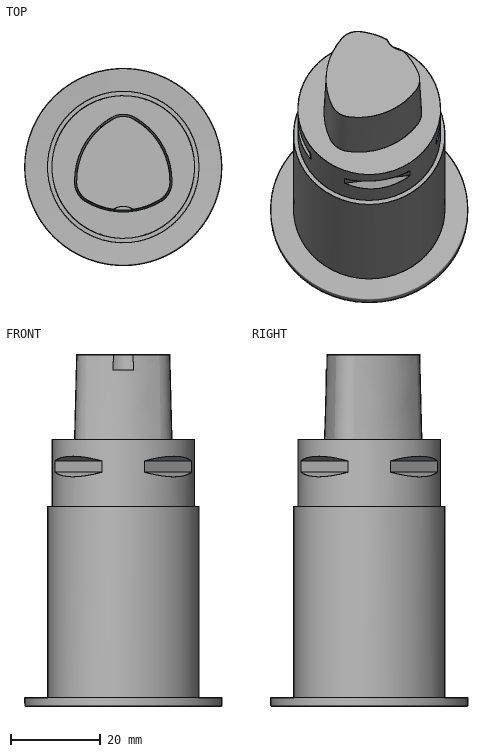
import cadquery as cq
import math

total_height = 78.8
taper_length = 19.0
collar_length = 15.0
collar_top = total_height - taper_length
collar_bottom = collar_top - collar_length

disc_diameter = 44.2
disc_thickness = 2.0
disc_corner_radius = 0.2
dish_angle = 2.5

collar_diameter = 32.0
shank_diameter = 34.0
dish_drop = (disc_diameter - shank_diameter) / 2 * math.tan(math.radians(dish_angle))
seat_height = disc_thickness - dish_drop

lobe_count = 3
tip_distance = 11.8
flank_distance = 10.1
lobe_radius = 5.1
first_lobe_angle = 90.0
taper_ratio = 1 / 40

notch_floor_distance = 8.8
notch_radius = 4.1
notch_depth = 3.5

slot_count = 4
slot_first_angle = 45.0
slot_center_height = 53.75
slot_flat_distance = 14.2
slot_flat_height = 2.5
slot_side_angle = 30.0
slot_clearance = 0.8


def polar(radius, angle):
    """Point at the given radius and angle in degrees."""
    return radius * math.cos(math.radians(angle)), radius * math.sin(math.radians(angle))


def make_disc():
    """Cutting disc with a dished upper face and a flat seat for the shank, rounded at both rims."""
    outline = (
        cq.Workplane("XZ")
        .lineTo(disc_diameter / 2, 0)
        .lineTo(disc_diameter / 2, disc_thickness)
        .lineTo(shank_diameter / 2, seat_height)
        .lineTo(0, seat_height)
        .close()
    )
    disc = outline.revolve(360, (0, 0, 0), (0, 1, 0))
    return disc.faces("%CYLINDER").edges("%CIRCLE").fillet(disc_corner_radius)


def make_taper():
    """Tapered three-lobed shape whose lobe and flank arcs meet tangentially."""
    lobe_center_distance = tip_distance - lobe_radius
    lobe_step = 360 / lobe_count
    half_step = math.radians(lobe_step / 2)
    along_flank_axis = lobe_center_distance * math.cos(half_step)
    across_flank_axis = lobe_center_distance * math.sin(half_step)
    radius_gap = flank_distance - lobe_radius
    flank_center_offset = (lobe_center_distance**2 - radius_gap**2) / (2 * (radius_gap - along_flank_axis))
    joint_slope = math.atan2(across_flank_axis, flank_center_offset + along_flank_axis)
    joint_along = along_flank_axis + lobe_radius * math.cos(joint_slope)
    joint_across = across_flank_axis + lobe_radius * math.sin(joint_slope)
    joint_distance = math.hypot(joint_along, joint_across)
    joint_angle = lobe_step / 2 - math.degrees(math.atan2(joint_across, joint_along))

    outline = cq.Workplane("XY", origin=(0, 0, collar_top)).moveTo(
        *polar(joint_distance, first_lobe_angle - joint_angle)
    )
    for lobe in range(lobe_count):
        lobe_angle = first_lobe_angle + lobe * lobe_step
        lobe_end = polar(joint_distance, lobe_angle + joint_angle)
        flank_middle = polar(flank_distance, lobe_angle + lobe_step / 2)
        flank_end = polar(joint_distance, lobe_angle + lobe_step - joint_angle)
        outline = outline.threePointArc(polar(tip_distance, lobe_angle), lobe_end)
        outline = outline.threePointArc(flank_middle, flank_end)
    taper_angle = math.degrees(math.atan(taper_ratio))
    return outline.close().extrude(taper_length, taper=taper_angle)


def make_notch():
    """Round-backed cut that opens to the top of the taper on its -Y flank."""
    return (
        cq.Workplane("XY", origin=(0, -notch_floor_distance - notch_radius, total_height))
        .circle(notch_radius)
        .extrude(-notch_depth)
    )


def make_slot(angle):
    """Straight flat-bottomed slot with flared walls, cut across the collar at one angle."""
    outer_distance = collar_diameter / 2 + slot_clearance
    flare = (outer_distance - slot_flat_distance) * math.tan(math.radians(slot_side_angle))
    half_flat = slot_flat_height / 2
    return (
        cq.Workplane("XZ", origin=(0, 0, slot_center_height))
        .moveTo(slot_flat_distance, -half_flat)
        .lineTo(outer_distance, -half_flat - flare)
        .lineTo(outer_distance, half_flat + flare)
        .lineTo(slot_flat_distance, half_flat)
        .close()
        .extrude(collar_diameter / 2, both=True)
        .rotate((0, 0, 0), (0, 0, 1), angle)
    )


def make_holder():
    """Shank, collar and taper in one piece, with the slots and the notch cut out."""
    shank = cq.Workplane("XY", origin=(0, 0, seat_height)).circle(shank_diameter / 2)
    holder = shank.extrude(collar_bottom - seat_height)
    collar = cq.Workplane("XY", origin=(0, 0, collar_bottom)).circle(collar_diameter / 2)
    holder = holder.union(collar.extrude(collar_length))
    holder = holder.union(make_taper()).cut(make_notch())
    for index in range(slot_count):
        holder = holder.cut(make_slot(slot_first_angle + index * 360 / slot_count))
    return holder


disc = make_disc()
holder = make_holder()

result = cq.Compound.makeCompound([disc.val(), holder.solids().val()])